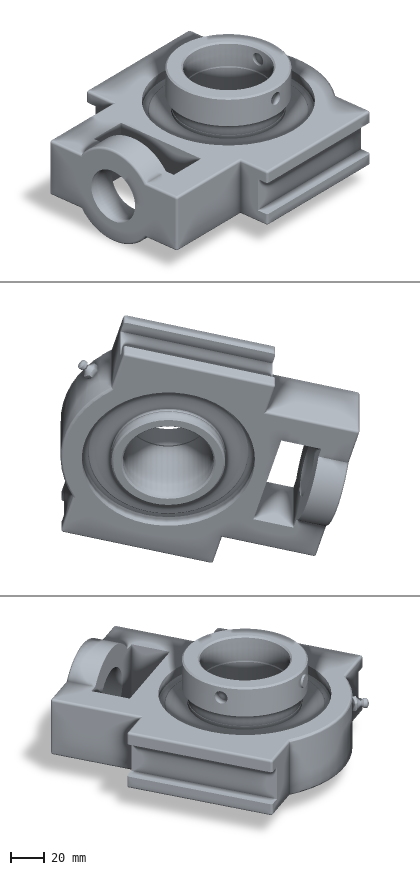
import cadquery as cq
import math


housing_thickness = 38.0
half_thickness = housing_thickness / 2
wing_width = 145.0
wing_length = 95.0
dome_radius = 65.0
tail_width = 102.0
tail_end = 106.0
end_wall = 19.0
edge_round = 1.5
boss_diameter = 64.0
screw_hole_diameter = 35.0
window_width = 64.0
window_length = 25.0
rail_width = 22.0
rail_depth = 7.5
recess_diameter = 104.56
recess_chamfer = 1.0
recess_floor = 12.0

shaft_diameter = 55.0
bore_chamfer = 1.0
seat_radius = 50.0
outer_ring_width = 25.0
outer_ring_chamfer = 0.5
seal_outer_diameter = 88.39
seal_slope = 0.65
land_diameter = 69.34
shoulder_diameter = 68.58
shoulder_start = 15.4
inner_ring_bottom = 22.2
inner_ring_top = 27.0
inner_ring_chamfer = 1.0
seal_width = 5.0

collar_diameter = 76.2
collar_bottom = 23.0
collar_top = 43.6
collar_chamfer = 1.0
set_screw_diameter = 8.38
spanner_hole_diameter = 8.38
spanner_hole_depth = 5.0
set_screw_height = 35.6
set_screw_recess = 2.0
set_screw_end = 39.4

nipple_angle = 120.0
nipple_height = 7.3
nipple_seat = 63.0
hex_end = 67.6
cone_start = 68.0
cone_end = 69.5
neck_middle = 70.6
head_low = 72.3
head_high = 74.42
nipple_tip = 75.4
hex_across_flats = 8.8
cone_start_diameter = 8.38
cone_end_diameter = 5.0
neck_diameter = 3.2
head_diameter = 6.0
tip_diameter = 2.26


def disc(diameter, bottom, top):
    """Cylinder about the shaft axis between two heights."""
    return cq.Workplane("XY").workplane(offset=bottom).circle(diameter / 2).extrude(top - bottom)


def end_cylinder(diameter, length):
    """Cylinder along Y that runs inward from the tail's end face."""
    return cq.Workplane("XZ").workplane(offset=tail_end - length).circle(diameter / 2).extrude(length)


def mirrored_pair(body):
    """A body and its mirror image below the bearing's mid-plane."""
    return [body, body.mirror("XY")]


def housing_plate():
    """Wings, dome and tail as one plate with all its outer edges rounded."""
    wings = cq.Workplane("XY").box(wing_width, wing_length, housing_thickness)
    wings = wings.edges("|Z").fillet(edge_round)
    dome = disc(2 * dome_radius, -half_thickness, half_thickness)
    tail = cq.Workplane("XY").box(tail_width, tail_end, housing_thickness).translate((0, -tail_end / 2, 0))
    tail = tail.edges("|Z and <Y").fillet(edge_round)
    plate = wings.union(dome).union(tail)
    return plate.faces("<Z or >Z").edges().fillet(edge_round)


def end_boss():
    return end_cylinder(boss_diameter, end_wall).faces("<Y").edges().fillet(edge_round)


def window():
    center_y = -tail_end + end_wall + window_length / 2
    block = cq.Workplane("XY").box(window_width, window_length, boss_diameter)
    return block.translate((0, center_y, 0))


def rail_grooves():
    """Guide grooves along both side faces."""
    center_x = (wing_width - rail_depth) / 2
    return (
        cq.Workplane("XY")
        .pushPoints([(-center_x, 0), (center_x, 0)])
        .box(rail_depth, wing_length, rail_width)
    )


def recess():
    """Recess above the bearing seat, with a chamfered floor corner."""
    return disc(recess_diameter, recess_floor, half_thickness).faces("<Z").edges().chamfer(recess_chamfer)


def bearing_seat():
    """Ball-shaped bore, cut off at the recess floors."""
    slab = disc(2 * seat_radius, -recess_floor, recess_floor)
    return cq.Workplane("XY").sphere(seat_radius).intersect(slab)


def build_housing(nipple):
    housing = housing_plate().union(end_boss())
    housing = housing.cut(end_cylinder(screw_hole_diameter, end_wall))
    housing = housing.cut(window())
    housing = housing.cut(rail_grooves())
    for pocket in mirrored_pair(recess()):
        housing = housing.cut(pocket)
    housing = housing.cut(bearing_seat())
    return housing.cut(nipple)


def build_outer_ring():
    half_width = outer_ring_width / 2
    blank = disc(2 * seat_radius, -half_width, half_width)
    ring = cq.Workplane("XY").sphere(seat_radius).intersect(blank)
    ring = ring.faces("<Z or >Z").edges().chamfer(outer_ring_chamfer)
    return ring.cut(disc(seal_outer_diameter, -half_width, half_width))


def build_seal():
    """Upper seal, with a shallow cone as its outer face."""
    inner = land_diameter / 2
    outer = seal_outer_diameter / 2
    top = outer_ring_width / 2
    profile = [
        (inner, top - seal_width),
        (outer, top - seal_width),
        (outer, top),
        (inner, top + seal_slope),
    ]
    return cq.Workplane("XZ").polyline(profile).close().revolve(360, (0, 0, 0), (0, 1, 0))


def build_inner_ring():
    ring = disc(land_diameter, -shoulder_start, shoulder_start)
    ring = ring.union(disc(shoulder_diameter, shoulder_start, inner_ring_top))
    ring = ring.union(disc(shoulder_diameter, -inner_ring_bottom, -shoulder_start))
    ring = ring.faces("<Z").edges().chamfer(inner_ring_chamfer)
    ring = ring.cut(disc(shaft_diameter, -inner_ring_bottom, inner_ring_top))
    return ring.faces("<Z or >Z").edges(cq.selectors.RadiusNthSelector(0)).chamfer(bore_chamfer)


def build_set_screw():
    start = shaft_diameter / 2 + set_screw_recess
    return (
        cq.Workplane("XZ", origin=(0, start, set_screw_height))
        .circle(set_screw_diameter / 2)
        .extrude(start - set_screw_end)
    )


def build_collar():
    """Collar that fits over the top of the inner ring."""
    collar = disc(collar_diameter, collar_bottom, collar_top).edges().chamfer(collar_chamfer)
    collar = collar.cut(disc(shaft_diameter, collar_bottom, collar_top))
    collar = collar.faces(">Z").edges(cq.selectors.RadiusNthSelector(0)).chamfer(bore_chamfer)
    collar = collar.cut(disc(shoulder_diameter, collar_bottom, inner_ring_top))
    screw_hole = (
        cq.Workplane("XZ", origin=(0, 0, set_screw_height))
        .circle(set_screw_diameter / 2)
        .extrude(-collar_diameter)
    )
    spanner_hole = (
        cq.Workplane("YZ", origin=(collar_diameter / 2, 0, set_screw_height))
        .circle(spanner_hole_diameter / 2)
        .extrude(-spanner_hole_depth)
    )
    return collar.cut(screw_hole).cut(spanner_hole)


def build_nipple():
    """Hexagonal foot, neck and tapered head; modelled along Z, then laid along its dome radius."""
    corner_radius = hex_across_flats / math.sqrt(3)
    profile = [
        (0, nipple_seat),
        (corner_radius, nipple_seat),
        (corner_radius, hex_end),
        (cone_start_diameter / 2, cone_start),
        (cone_end_diameter / 2, cone_end),
        (neck_diameter / 2, neck_middle),
        (head_diameter / 2, head_low),
        (head_diameter / 2, head_high),
        (tip_diameter / 2, nipple_tip),
        (0, nipple_tip),
    ]
    turned = cq.Workplane("XZ").polyline(profile).close().revolve(360, (0, 0, 0), (0, 1, 0))
    hexagon = (
        cq.Workplane("XY")
        .workplane(offset=nipple_seat)
        .polygon(6, 2 * corner_radius)
        .extrude(nipple_tip - nipple_seat)
    )
    nipple = turned.intersect(hexagon)
    nipple = nipple.rotate((0, 0, 0), (0, 1, 0), 90)
    nipple = nipple.rotate((0, 0, 0), (0, 0, 1), nipple_angle)
    return nipple.translate((0, 0, nipple_height))


nipple = build_nipple()
housing = build_housing(nipple)
outer_ring = build_outer_ring()
inner_ring = build_inner_ring()
seals = mirrored_pair(build_seal())
collar = build_collar()
set_screw = build_set_screw()

result = cq.Compound.makeCompound([
    housing.val(),
    outer_ring.val(),
    inner_ring.val(),
    *[seal.val() for seal in seals],
    collar.val(),
    set_screw.val(),
    nipple.val(),
])